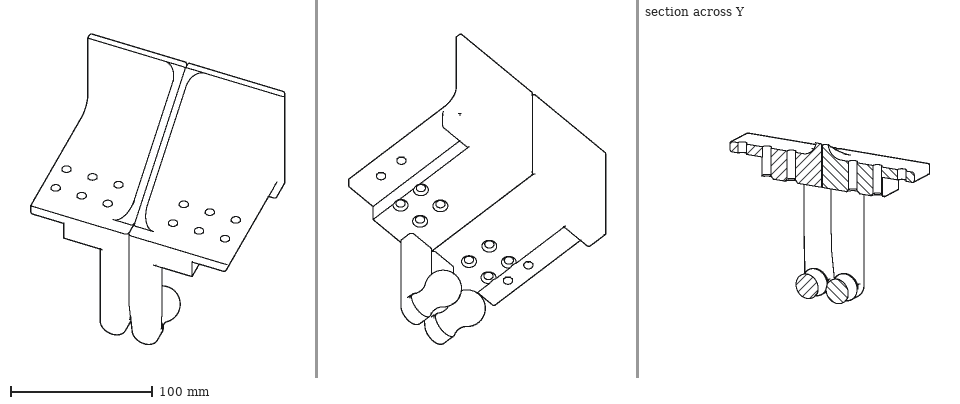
import cadquery as cq
import math


total_width = 150.2
gap = 0.2
inner_x = gap / 2
outer_x = total_width / 2
depth = 110.0
wall_height = 70.0
wall_thickness = 4.9
wall_y = depth - wall_thickness
plate_thickness = 8.0
block_height = 23.0
block_width = 49.0
leg_depth = 18.0

rib_thickness = 5.0
rib_foot_y = 10.0
corner_radius = 10.3

outer_edge_radius = 2.0
rib_edge_radius = 1.6
arm_edge_radius = 2.5

arm_width = 22.0
arm_thickness = 12.0
arm_tip_radius = 10.0
arm_drop = 75.0
inner_taper_length = 25.0
back_taper_length = arm_drop / 2
back_taper = 1.5
back_rounding_stop = 3.0
arm_outer_x = inner_x + arm_width
tip_x = arm_outer_x - arm_tip_radius
tip_z = -block_height - arm_drop
thin_y = arm_thickness - back_taper
low_z = tip_z - 2 * arm_tip_radius

ball_radius = 13.0
ball_reach = 21.4
neck_radius = 13.0
stud_base_radius = arm_tip_radius

hole_diameter = 6.5
hole_spacing = 20.0
hole_columns = 3
hole_rows = 2
first_hole_x = 25.0
first_hole_y = 23.0
countersink_depth = 2.0


def box(x0, x1, y0, y1, z0, z1):
    """Box between two opposite corners."""
    return cq.Workplane("XY").box(x1 - x0, y1 - y0, z1 - z0, centered=False).translate((x0, y0, z0))


def make_frame():
    """Wall, plate, block and rib, with the outer edges rounded."""
    frame = (
        cq.Workplane("YZ", origin=(inner_x, 0, 0))
        .moveTo(0, -block_height)
        .lineTo(depth, -block_height)
        .lineTo(depth, wall_height)
        .lineTo(wall_y, wall_height)
        .lineTo(rib_foot_y, 0)
        .lineTo(0, 0)
        .close()
        .extrude(outer_x - inner_x)
    )

    pocket = (
        box(inner_x + rib_thickness, 2 * outer_x, -depth, wall_y, 0, 2 * wall_height)
        .edges("(<X and >Y) or (<X and <Z) or (>Y and <Z)")
        .fillet(corner_radius)
    )
    frame = frame.cut(pocket)

    recess = box(inner_x + block_width, outer_x, 0, depth - leg_depth, -block_height, -plate_thickness)
    frame = frame.cut(recess)

    rib_edges = frame.faces("<X").edges("not(<Y or <Z)").edges("(not |Y) or >Z")
    frame = rib_edges.fillet(rib_edge_radius)

    outline = frame.faces(">X").edges()
    leg_front = frame.faces("<Z").edges("|X").edges("not <Y").edges("not >Y")
    frame = outline.add(leg_front).fillet(outer_edge_radius)

    round_y = depth - outer_edge_radius
    round_z = outer_edge_radius - block_height
    rounded_bar = cq.Workplane("YZ").center(round_y, round_z).circle(outer_edge_radius).extrude(outer_x)
    corner = box(0, outer_x, round_y, depth, -block_height, round_z).cut(rounded_bar)
    return frame.cut(corner)


def make_sharp_arm():
    """Hanging arm with a round tip, tapered on its inner side and on its back."""
    arm = (
        cq.Workplane("XZ", origin=(0, arm_thickness, 0))
        .moveTo(inner_x, -block_height)
        .lineTo(inner_x, tip_z + inner_taper_length)
        .lineTo(tip_x - arm_tip_radius, tip_z)
        .threePointArc((tip_x, tip_z - arm_tip_radius), (arm_outer_x, tip_z))
        .lineTo(arm_outer_x, -block_height)
        .close()
        .extrude(arm_thickness)
    )
    back_cut = (
        cq.Workplane("YZ")
        .moveTo(arm_thickness, tip_z + back_taper_length)
        .lineTo(thin_y, tip_z)
        .lineTo(thin_y, low_z)
        .lineTo(arm_thickness, low_z)
        .close()
        .extrude(2 * arm_outer_x)
    )
    return arm.cut(back_cut)


def make_arm():
    """Arm with its back outline rounded, except the crease where the taper starts."""
    back_outline = cq.selectors.BoxSelector(
        (0, thin_y - back_taper, low_z),
        (2 * arm_outer_x, arm_thickness + back_taper, -block_height - back_taper),
    )
    return make_sharp_arm().edges(back_outline).edges("not |X").fillet(arm_edge_radius)


def make_tip_back():
    """Rear half of the arm tip, whose back edges stay sharp where the stud starts."""
    tip_space = box(0, outer_x, arm_thickness / 2, depth, low_z, tip_z + back_rounding_stop)
    return make_sharp_arm().intersect(tip_space)


def make_stud():
    """Ball on a concave neck, trimmed flat at the shared plane."""
    centre_to_ball = ball_radius + neck_radius
    rim_distance = math.hypot(ball_reach, stud_base_radius)
    along = (centre_to_ball**2 - neck_radius**2 + rim_distance**2) / (2 * rim_distance)
    angle = math.atan2(stud_base_radius, ball_reach) + math.acos(along / centre_to_ball)
    neck_y = ball_reach - centre_to_ball * math.cos(angle)
    neck_r = centre_to_ball * math.sin(angle)
    tangent_y = ball_reach - ball_radius * math.cos(angle)
    tangent_r = ball_radius * math.sin(angle)

    stud = (
        cq.Workplane("XY", origin=(tip_x, arm_thickness, tip_z))
        .moveTo(0, -back_taper)
        .lineTo(stud_base_radius, -back_taper)
        .lineTo(stud_base_radius, 0)
        .threePointArc((neck_r - neck_radius, neck_y), (tangent_r, tangent_y))
        .threePointArc((ball_radius, ball_reach), (0, ball_reach + ball_radius))
        .close()
        .revolve(360, (0, 0, 0), (0, 1, 0))
    )
    reach = 2 * (ball_reach + ball_radius)
    return stud.intersect(box(inner_x, outer_x, 0, reach, tip_z - reach, tip_z + reach))


def make_holes():
    """Bolt holes through the plate and block, countersunk from below."""
    radius = hole_diameter / 2
    hole = (
        cq.Workplane("XZ")
        .moveTo(0, -block_height)
        .lineTo(radius + countersink_depth, -block_height)
        .lineTo(radius, -block_height + countersink_depth)
        .lineTo(radius, 0)
        .lineTo(0, 0)
        .close()
        .revolve(360, (0, 0, 0), (0, 1, 0))
    )
    holes = cq.Workplane("XY")
    for column in range(hole_columns):
        for row in range(hole_rows):
            place = (first_hole_x + column * hole_spacing, first_hole_y + row * hole_spacing, 0)
            holes = holes.add(hole.translate(place))
    return holes


def make_bracket():
    """Complete right-hand bracket."""
    bracket = make_frame().union(make_arm())
    front_edges = bracket.faces("<Y").edges(
        cq.selectors.BoxSelector((-outer_x, -1.8, tip_z - outer_x), (arm_outer_x + 1.8, 1.8, -0.2))
    )
    bracket = front_edges.edges("not(|X)").fillet(arm_edge_radius)
    bracket = bracket.union(make_tip_back()).union(make_stud())
    for hole in make_holes().vals():
        bracket = bracket.cut(cq.Workplane(hole))
    return bracket


right_bracket = make_bracket()
left_bracket = right_bracket.mirror("YZ")

result = cq.Compound.makeCompound([right_bracket.val(), left_bracket.val()])